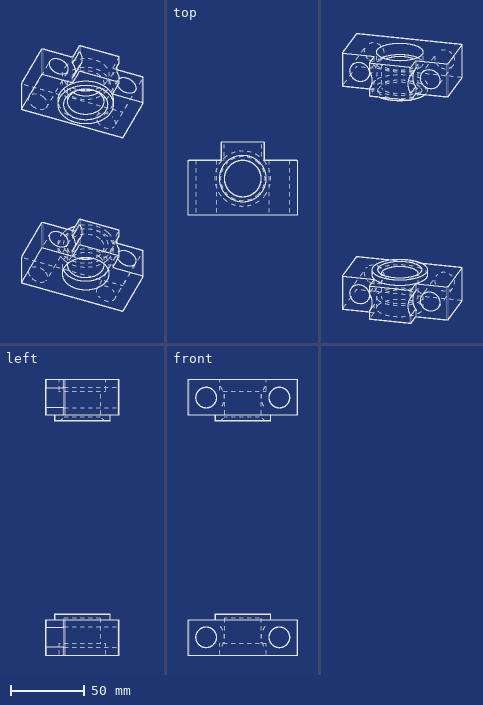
import cadquery as cq

TOTAL_HEIGHT = 189.0
BLOCK_WIDTH = 75.0
BLOCK_DEPTH = 37.6
BLOCK_HEIGHT = 24.4
TONGUE_WIDTH = 29.5
TONGUE_LENGTH = 12.5
REAR_CORNER_RADIUS = 1.0
EDGE_RADIUS = 0.5

BORE_DIAMETER = 25.0
COLLAR_DIAMETER = 38.0
COLLAR_HEIGHT = 4.0
COLLAR_BORE_CHAMFER = 2.6
RECESS_DIAMETER = 32.0
RECESS_DEPTH = 8.3
BORE_Y = 25.0

MOUNT_DIAMETER = 14.0
MOUNT_SPACING = 50.0
MOUNT_Z = 12.5
CLEARANCE_DIAMETER = 24.5

FULL_HEIGHT = BLOCK_HEIGHT + COLLAR_HEIGHT
MOUNT_XS = (-MOUNT_SPACING / 2, MOUNT_SPACING / 2)


def make_block():
    """Rectangular block with a central rear tongue and rounded vertical edges."""
    block = cq.Workplane("XY").box(BLOCK_WIDTH, BLOCK_DEPTH, BLOCK_HEIGHT, centered=(True, False, False))
    block = block.edges("|Z and >Y").fillet(REAR_CORNER_RADIUS)
    tongue = cq.Workplane("XY").box(
        TONGUE_WIDTH, BLOCK_DEPTH + TONGUE_LENGTH, BLOCK_HEIGHT, centered=(True, False, False)
    )
    block = block.union(tongue)
    front_corners = block.edges("|Z and <Y")
    tongue_corners = block.edges("|Z and >Y")
    tongue_roots = block.edges(
        cq.selectors.BoxSelector(
            (-TONGUE_WIDTH, BLOCK_DEPTH - EDGE_RADIUS, 0),
            (TONGUE_WIDTH, BLOCK_DEPTH + EDGE_RADIUS, BLOCK_HEIGHT),
        )
    ).edges("|Z")
    return block.newObject(front_corners.vals() + tongue_corners.vals() + tongue_roots.vals()).fillet(EDGE_RADIUS)


def vertical_cylinder(diameter, height, bottom_z):
    """Cylinder on the axis of the bore."""
    return cq.Workplane("XY", origin=(0, BORE_Y, bottom_z)).circle(diameter / 2).extrude(height)


def cylinder_along_y(diameter, length, x, start_y):
    """Cylinder on a mounting hole axis, running toward +Y."""
    plane = cq.Workplane("XZ", origin=(x, start_y, MOUNT_Z))
    return plane.circle(diameter / 2).extrude(-length)


def make_bore():
    """Cutter for the through bore, its recess in the base and its chamfer at the collar."""
    bore = vertical_cylinder(BORE_DIAMETER, FULL_HEIGHT, 0)
    recess = vertical_cylinder(RECESS_DIAMETER, RECESS_DEPTH, 0)
    mouth_diameter = BORE_DIAMETER + 2 * COLLAR_BORE_CHAMFER
    mouth = (
        cq.Workplane("XY", origin=(0, BORE_Y, FULL_HEIGHT))
        .circle(mouth_diameter / 2)
        .workplane(offset=-COLLAR_BORE_CHAMFER)
        .circle(BORE_DIAMETER / 2)
        .loft()
    )
    return bore.union(recess).union(mouth)


def make_lower_mount():
    """Mounting block with its collar on top and its recess underneath."""
    mount = make_block().union(vertical_cylinder(COLLAR_DIAMETER, FULL_HEIGHT, 0))
    mount = mount.cut(make_bore())
    for x in MOUNT_XS:
        mount = mount.cut(cylinder_along_y(MOUNT_DIAMETER, BLOCK_DEPTH, x, 0))
        mount = mount.cut(cylinder_along_y(CLEARANCE_DIAMETER, TONGUE_LENGTH, x, BLOCK_DEPTH))
    return mount


lower_mount = make_lower_mount()
upper_mount = lower_mount.mirror("XY", (0, 0, TOTAL_HEIGHT / 2))

result = cq.Compound.makeCompound([lower_mount.val(), upper_mount.val()])